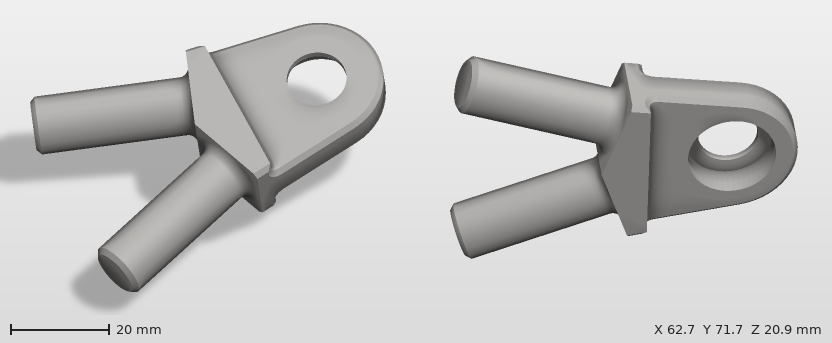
import cadquery as cq
import math

tilt_angle = 8.2
axis_angle = 57.5

eye_radius = 13.6
hole_diameter = 12.3
counterbore_diameter = 18.1
lip_thickness = 1.6
plate_thickness = 8.05
taper_angle = 8.6
edge_chamfer = 1.0

block_thickness = 16.1
step_distance = 17.6
step_fillet = 2.0
nose_distance = 27.3
fork_angle = 19.3

pin_diameter = 11.9
pin_length = 32.9
pin_fillet = 2.0
pin_chamfer = 1.0

taper = math.radians(taper_angle)
fork = math.radians(fork_angle)


def half_width(distance):
    """Half width between the flanks at a distance from the hole centre towards the nose."""
    return (eye_radius + distance * math.sin(taper)) / math.cos(taper)


shoulder_half_width = half_width(nose_distance) / (1 + math.tan(fork) * math.tan(taper))
shoulder_distance = nose_distance - shoulder_half_width * math.tan(fork)


def make_plate():
    tangent_x = eye_radius * math.sin(taper)
    tangent_y = eye_radius * math.cos(taper)
    return (
        cq.Workplane("XY")
        .moveTo(-shoulder_distance, -shoulder_half_width)
        .lineTo(tangent_x, -tangent_y)
        .threePointArc((eye_radius, 0), (tangent_x, tangent_y))
        .lineTo(-shoulder_distance, shoulder_half_width)
        .close()
        .extrude(plate_thickness / 2, both=True)
    )


def make_block():
    step_half_width = half_width(step_distance)
    return (
        cq.Workplane("XY")
        .polyline([
            (-step_distance, -step_half_width),
            (-step_distance, step_half_width),
            (-shoulder_distance, shoulder_half_width),
            (-nose_distance, 0),
            (-shoulder_distance, -shoulder_half_width),
        ])
        .close()
        .extrude(block_thickness / 2, both=True)
    )


def make_bore():
    """Through hole, opened out from below to leave a thin lip at the top."""
    bottom = cq.Workplane("XY").workplane(offset=-plate_thickness / 2)
    hole = bottom.circle(hole_diameter / 2).extrude(plate_thickness)
    counterbore = bottom.circle(counterbore_diameter / 2).extrude(plate_thickness - lip_thickness)
    return hole.union(counterbore)


def make_pin(side):
    """Pin standing square on the middle of one face, with a flared root and a chamfered tip."""
    radius = pin_diameter / 2
    arc_offset = pin_fillet * (1 - math.sqrt(0.5))
    pin = (
        cq.Workplane("XY")
        .lineTo(0, radius + pin_fillet)
        .threePointArc((-arc_offset, radius + arc_offset), (-pin_fillet, radius))
        .lineTo(-(pin_length - pin_chamfer), radius)
        .lineTo(-pin_length, radius - pin_chamfer)
        .lineTo(-pin_length, 0)
        .close()
        .revolve(360, (0, 0), (1, 0))
    )
    face_middle = (-(nose_distance + shoulder_distance) / 2, side * shoulder_half_width / 2, 0)
    return pin.rotate((0, 0, 0), (0, 0, 1), -side * fork_angle).translate(face_middle)


lug = make_plate().union(make_block())

step_tolerance = 0.1
step_x = -step_distance
half_plate = plate_thickness / 2
corner_zone = cq.selectors.BoxSelector(
    (step_x - step_tolerance, -step_tolerance, -half_plate - step_tolerance),
    (step_x + step_tolerance, step_tolerance, half_plate + step_tolerance),
)
lug = lug.edges(corner_zone).fillet(step_fillet)

side_edges = lug.faces(">X or >Y or <Y").edges()
upright_edges = lug.edges("|Z")
step_edges = [edge for edge in upright_edges.vals() if abs(edge.Center().x - step_x) < step_tolerance]
outline_edges = [edge for edge in side_edges.vals() if not any(edge.isSame(up) for up in upright_edges.vals())]
lug = lug.newObject(outline_edges + step_edges).chamfer(edge_chamfer)

for pin_side in (-1, 1):
    lug = lug.union(make_pin(pin_side))

lug = lug.cut(make_bore())

result = lug.rotate((0, 0, 0), (0, 0, 1), axis_angle).rotate((0, 0, 0), (1, 0, 0), tilt_angle)